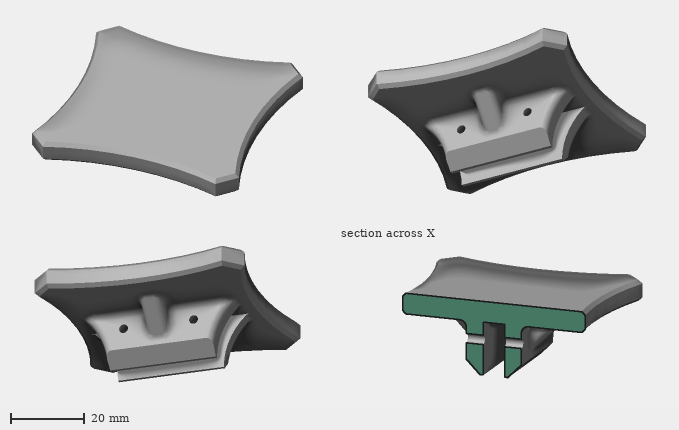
import cadquery as cq
import math

plate_size = 60.0
plate_thickness = 6.0
corner_clip = 5.0
side_sag = 4.0
plate_chamfer = 1.0

total_height = 21.0
wall_gap = 6.2
wall_thickness = 5.0
wall_foot_width = 30.25
wall_end_radius = 20.0
foot_chamfer = 4.0

rib_width = 6.2
rib_leg = 9.0

edge_round = 2.0
blend_radius = 2.0

hole_diameter = 2.5
hole_spacing = 20.0
hole_drop = 11.0

plate_overlap = 2.4

side_reach = 23.4

margin = 0.05

plate_half = plate_size / 2
wall_inner = wall_gap / 2
wall_outer = wall_inner + wall_thickness
plate_bottom = -plate_thickness
wall_root = plate_bottom + plate_overlap


def make_plate():
    side_end = plate_half - corner_clip
    side_mid = plate_half - side_sag
    outline = cq.Workplane("XY").moveTo(-side_end, -plate_half)
    for dx, dy in ((1, 0), (0, 1), (-1, 0), (0, -1)):
        out_x, out_y = dy, -dx
        side_start = (out_x * plate_half - dx * side_end, out_y * plate_half - dy * side_end)
        side_stop = (out_x * plate_half + dx * side_end, out_y * plate_half + dy * side_end)
        if (dx, dy) != (1, 0):
            outline = outline.lineTo(*side_start)
        outline = outline.threePointArc((out_x * side_mid, out_y * side_mid), side_stop)
    return outline.close().extrude(-plate_thickness).faces("|Z").chamfer(plate_chamfer)


def wall_end_x(rise):
    """Half width of the wall at a height above its foot."""
    sweep = math.asin(rise / wall_end_radius)
    return wall_foot_width / 2 + wall_end_radius * (1 - math.cos(sweep))


def make_wall():
    """The wall on the -Y side, with flared, rounded ends and a beveled foot."""
    foot_x = wall_foot_width / 2
    arc_z = -total_height
    root_rise = wall_root - arc_z
    root_x = wall_end_x(root_rise)
    mid_rise = root_rise / 2
    mid_x = wall_end_x(mid_rise)
    wall = (
        cq.Workplane("XZ", origin=(0, -wall_inner, 0))
        .moveTo(-foot_x, arc_z)
        .lineTo(foot_x, arc_z)
        .threePointArc((mid_x, arc_z + mid_rise), (root_x, wall_root))
        .lineTo(-root_x, wall_root)
        .threePointArc((-mid_x, arc_z + mid_rise), (-foot_x, arc_z))
        .close()
        .extrude(wall_thickness)
    )
    wall = wall.faces("<Y").edges("not #Z").fillet(edge_round)
    bevel = (
        cq.Workplane("YZ")
        .moveTo(-wall_outer, -total_height)
        .lineTo(-wall_outer + foot_chamfer, -total_height)
        .lineTo(-wall_outer, -total_height + foot_chamfer)
        .close()
        .extrude(plate_half, both=True)
    )
    return wall.cut(bevel)


def make_rib():
    """The 45 degree rib on the -Y wall, with rounded sloping edges."""
    root_reach = wall_outer + rib_leg + plate_overlap
    toe = plate_bottom - rib_leg - wall_thickness / 2
    rib = (
        cq.Workplane("YZ")
        .moveTo(-root_reach, wall_root)
        .lineTo(-wall_outer + wall_thickness / 2, wall_root)
        .lineTo(-wall_outer + wall_thickness / 2, toe)
        .close()
        .extrude(rib_width / 2, both=True)
    )
    slope_edges = rib.faces("<(0, 1, 1)").edges("not |X")
    return slope_edges.fillet(edge_round)


def make_half_bracket():
    """The -Y wall and its rib, blended where the rib meets the wall."""
    bracket = make_wall().union(make_rib())
    seam_edges = bracket.edges(
        cq.selectors.BoxSelector(
            (-rib_width, -wall_outer - margin, plate_bottom - rib_leg - margin),
            (rib_width, -wall_outer + margin, wall_root - margin),
        )
    )
    return seam_edges.fillet(blend_radius)


def drill_pin_holes(body):
    pins = (
        cq.Workplane("XZ")
        .pushPoints([(-hole_spacing / 2, -hole_drop), (hole_spacing / 2, -hole_drop)])
        .circle(hole_diameter / 2)
        .extrude(plate_half, both=True)
    )
    return body.cut(pins)


def blend_into_plate(body):
    """Fillet the outer foot of the -Y wall and rib where they meet the plate."""
    foot_edges = body.edges(
        cq.selectors.BoxSelector(
            (-side_reach, -side_reach, plate_bottom - margin),
            (side_reach, -wall_inner - margin, plate_bottom + margin),
        )
    )
    return foot_edges.fillet(blend_radius)


half = blend_into_plate(make_plate().union(make_half_bracket()))
result = drill_pin_holes(half.union(half.mirror("XZ")))